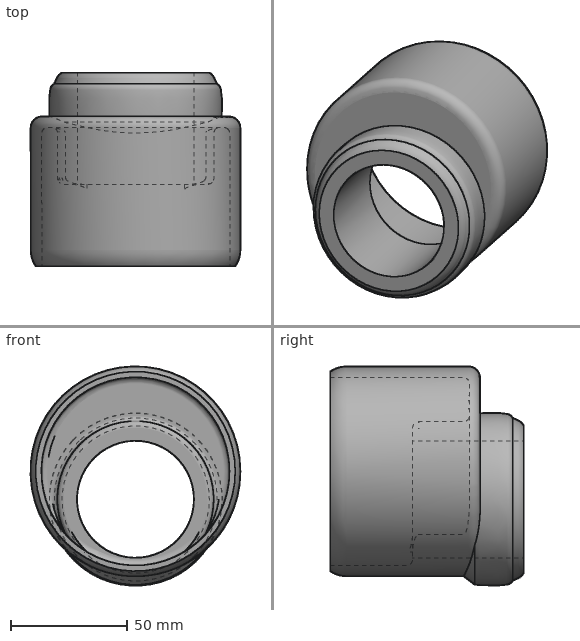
import cadquery as cq
import math

socket_radius = 45.0
socket_length = 64.3
socket_back_round = 5.1
mouth_outer_radius = 42.7
mouth_round_length = 7.1
cavity_radius = 40.3
back_wall = 4.7
cavity_depth = socket_length - back_wall
floor_fillet = 2.5

axis_drop = 12.0
overall_length = 83.0
bulge_radius = 37.2
bulge_edge_radius = 36.6
bulge_front = 61.95
bulge_back = 75.8
step_radius = 34.9
step_position = 78.2
rim_radius = 33.8
rim_position = 80.7
end_radius = 31.5
neck_front = 57.15
neck_front_radius = 32.95

collar_radius = 33.5
collar_face = 35.2
collar_edge_round = 2.8
collar_foot_fillet = 2.3
bore_diameter = 50.0


def cylinder(radius, start, end, axis_z):
    """Cylinder parallel to Y between two Y positions."""
    return cq.Workplane("XZ", origin=(0, start, axis_z)).circle(radius).extrude(start - end)


def make_socket():
    """Solid body with a curved mouth edge and a rounded back edge."""
    inset = socket_radius - mouth_outer_radius
    arc_radius = (inset**2 + mouth_round_length**2) / (2 * inset)
    arc_middle = mouth_round_length / 2
    middle_radius = (socket_radius - arc_radius
                     + math.sqrt(arc_radius**2 - (mouth_round_length - arc_middle)**2))
    profile = (
        cq.Workplane("XY")
        .lineTo(mouth_outer_radius, 0)
        .threePointArc((middle_radius, arc_middle), (socket_radius, mouth_round_length))
        .lineTo(socket_radius, socket_length)
        .lineTo(0, socket_length)
        .close()
    )
    return profile.revolve(360, (0, 0), (0, 1)).faces(">Y").edges().fillet(socket_back_round)


def make_neck():
    """Bulged collar, stepping in to a rounded rim at the spigot end."""
    profile = (
        cq.Workplane("XY", origin=(0, 0, -axis_drop))
        .moveTo(0, neck_front)
        .lineTo(neck_front_radius, neck_front)
        .lineTo(bulge_edge_radius, bulge_front)
        .threePointArc((bulge_radius, (bulge_front + bulge_back) / 2), (bulge_edge_radius, bulge_back))
        .tangentArcPoint((step_radius, step_position), relative=False)
        .lineTo(rim_radius, rim_position)
        .tangentArcPoint((end_radius, overall_length), relative=False)
        .lineTo(0, overall_length)
        .close()
    )
    return profile.revolve(360, (0, 0), (0, 1))


def make_collar():
    """Inner collar with a rounded front edge and a flared foot on the cavity floor."""
    foot_radius = collar_radius + collar_foot_fillet
    profile = (
        cq.Workplane("XY", origin=(0, 0, -axis_drop))
        .moveTo(0, collar_face)
        .lineTo(collar_radius - collar_edge_round, collar_face)
        .tangentArcPoint((collar_radius, collar_face + collar_edge_round), relative=False)
        .lineTo(collar_radius, cavity_depth - collar_foot_fillet)
        .tangentArcPoint((foot_radius, cavity_depth), relative=False)
        .lineTo(0, cavity_depth)
        .close()
    )
    return profile.revolve(360, (0, 0), (0, 1))


def blind_cavity(depth):
    """Round cavity from the mouth to the given depth, with a filleted floor edge."""
    return cylinder(cavity_radius, 0, depth, 0).faces(">Y").edges().fillet(floor_fillet)


def make_face_fillet():
    """Crescent fillet between the collar face and the cavity wall below the bore."""
    face_radius = collar_radius - collar_edge_round
    disc = cylinder(face_radius, collar_face - floor_fillet, collar_face, -axis_drop)
    within_wall = cylinder(cavity_radius, 0, collar_face, 0)
    return disc.intersect(within_wall).cut(blind_cavity(collar_face))


def make_cavity():
    """Space around and in front of the collar, less the fillet at the collar face."""
    return blind_cavity(cavity_depth).cut(make_collar()).cut(make_face_fillet())


bore = cylinder(bore_diameter / 2, 0, overall_length, -axis_drop)
result = make_socket().union(make_neck()).cut(make_cavity()).cut(bore)